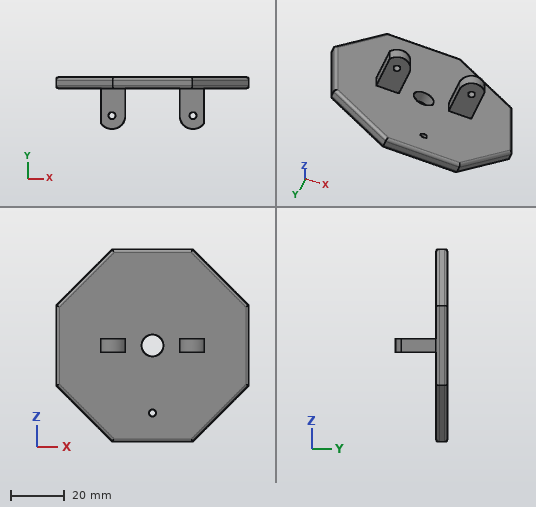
import cadquery as cq
import math

side_count = 8
plate_width = 71.6
plate_thickness = 4.4
edge_radius = 1.2
center_hole_diameter = 8.0
small_hole_diameter = 2.5
small_hole_drop = 25.05

lug_length = 15.0
lug_height = 5.0
lug_tip_radius = 5.0
lug_pin_offset = 15.0
lug_outer_offset = 19.1
pin_hole_diameter = 2.5


def make_plate():
    half_side_angle = 180 / side_count
    corner_diameter = plate_width / math.cos(math.pi / side_count)
    plate = (
        cq.Workplane("XZ")
        .transformed(rotate=(0, 0, half_side_angle))
        .polygon(side_count, corner_diameter)
        .extrude(-plate_thickness)
    )
    plate = plate.faces("<Y or >Y").edges().fillet(edge_radius)
    center_hole = cq.Workplane("XZ").circle(center_hole_diameter / 2).extrude(-plate_thickness)
    small_hole = (
        cq.Workplane("XZ")
        .center(0, -small_hole_drop)
        .circle(small_hole_diameter / 2)
        .extrude(-plate_thickness)
    )
    return plate.cut(center_hole).cut(small_hole)


def make_lug():
    """Lug on the +X side, with its round tip cut short by the flat outer side."""
    pin_y = lug_tip_radius - lug_length
    inner_x = lug_pin_offset - lug_tip_radius
    outer_reach = lug_outer_offset - lug_pin_offset
    outer_arc_y = pin_y - math.sqrt(lug_tip_radius**2 - outer_reach**2)
    return (
        cq.Workplane("XY")
        .moveTo(inner_x, 0)
        .lineTo(inner_x, pin_y)
        .threePointArc((lug_pin_offset, -lug_length), (lug_outer_offset, outer_arc_y))
        .lineTo(lug_outer_offset, 0)
        .close()
        .moveTo(lug_pin_offset, pin_y)
        .circle(pin_hole_diameter / 2)
        .extrude(lug_height / 2, both=True)
    )


right_lug = make_lug()
left_lug = right_lug.mirror("YZ")
result = make_plate().union(right_lug).union(left_lug)